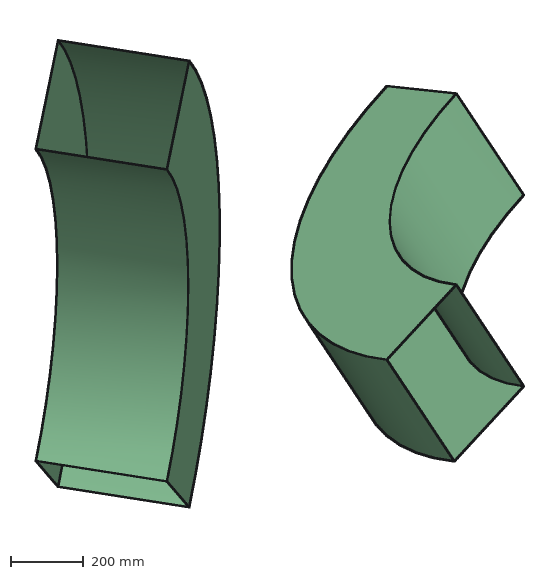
import cadquery as cq
import math

width = 375.0
outer_radius = 1028.0
inner_radius = 717.4
bend_angle = 90.0
wall = 1.0


def bend_point(radius, angle):
    """Point in the YZ plane at a radius and an angle (degrees) from +Y."""
    a = math.radians(angle)
    return (radius * math.cos(a), radius * math.sin(a))


def bend_sector(near_radius, far_radius, sector_width):
    """Solid ring sector about the X axis, centred on X = 0."""
    half_angle = bend_angle / 2
    return (
        cq.Workplane("YZ")
        .moveTo(*bend_point(far_radius, -half_angle))
        .threePointArc(bend_point(far_radius, 0), bend_point(far_radius, half_angle))
        .lineTo(*bend_point(near_radius, half_angle))
        .threePointArc(bend_point(near_radius, 0), bend_point(near_radius, -half_angle))
        .close()
        .extrude(sector_width / 2, both=True)
    )


envelope = bend_sector(inner_radius, outer_radius, width)
passage = bend_sector(inner_radius + wall, outer_radius - wall, width - 2 * wall)

result = envelope.cut(passage)